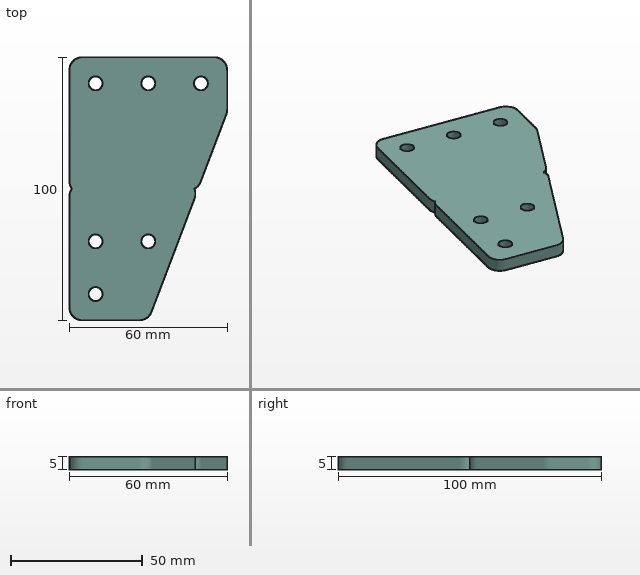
import cadquery as cq
import math

width = 60
length = 100
thickness = 5
corner_radius = 5
left = -width / 2
right = width / 2
top = length / 2
bottom = -length / 2

taper_angle = 20.8
upper_taper_center_y = 30
upper_taper_center = (right - corner_radius, upper_taper_center_y)
lower_taper_center_x = -3.4
lower_taper_center = (lower_taper_center_x, bottom + corner_radius)

point_tolerance = 1e-06

left_shoulder_offset = 2.9
upper_shoulder_y = 4.4
lower_shoulder_y = -2.0

top_row_count = 3
lower_row_count = 2
hole_diameter = 5.2
hole_pitch = 20
edge_distance = 10
first_column = left + edge_distance
hole_points = [(first_column + i * hole_pitch, top - edge_distance) for i in range(top_row_count)]
hole_points += [(first_column + i * hole_pitch, bottom + edge_distance + hole_pitch) for i in range(lower_row_count)]
hole_points.append((first_column, bottom + edge_distance))


def on_arc(center, degrees):
    """Point on a corner arc at an angle from +X."""
    angle = math.radians(degrees)
    return (center[0] + corner_radius * math.cos(angle), center[1] + corner_radius * math.sin(angle))


def along_taper(center, y):
    """Arc center at height y on a line through center, parallel to the taper."""
    return (center[0] + (y - center[1]) * math.tan(math.radians(taper_angle)), y)


def angle_at_axis(center):
    """Angle at which the right side of a shoulder arc crosses Y = 0."""
    return math.degrees(math.asin(-center[1] / corner_radius))


def add_arc(outline, center, start, end):
    """Draw a line to the arc start (if needed), then the arc to its end."""
    start_point = on_arc(center, start)
    if math.dist(outline.val().endPoint().toTuple()[:2], start_point) > point_tolerance:
        outline = outline.lineTo(*start_point)
    return outline.threePointArc(on_arc(center, (start + end) / 2), on_arc(center, end))


def plate_outline():
    """Clockwise outline, starting at the cusp on the left edge."""
    inner_left = left + corner_radius
    upper_left_shoulder = (inner_left, left_shoulder_offset)
    lower_left_shoulder = (inner_left, -left_shoulder_offset)
    upper_right_shoulder = along_taper(upper_taper_center, upper_shoulder_y)
    lower_right_shoulder = along_taper(lower_taper_center, lower_shoulder_y)
    left_cusp = 180 - angle_at_axis(upper_left_shoulder)

    cusp_point = on_arc(upper_left_shoulder, left_cusp)
    outline = cq.Workplane("XY").moveTo(*cusp_point).threePointArc(
        on_arc(upper_left_shoulder, (left_cusp + 180) / 2), on_arc(upper_left_shoulder, 180)
    )
    arcs = [
        ((inner_left, top - corner_radius), 180, 90),
        ((right - corner_radius, top - corner_radius), 90, 0),
        (upper_taper_center, 0, -taper_angle),
        (upper_right_shoulder, -taper_angle, angle_at_axis(upper_right_shoulder)),
        (lower_right_shoulder, angle_at_axis(lower_right_shoulder), -taper_angle),
        (lower_taper_center, -taper_angle, -90),
        ((inner_left, bottom + corner_radius), 270, 180),
        (lower_left_shoulder, 180, 360 - left_cusp),
    ]
    for center, start, end in arcs:
        outline = add_arc(outline, center, start, end)
    return outline.close()


plate = plate_outline().extrude(thickness)
holes = cq.Workplane("XY").pushPoints(hole_points).circle(hole_diameter / 2).extrude(thickness)
result = plate.cut(holes)